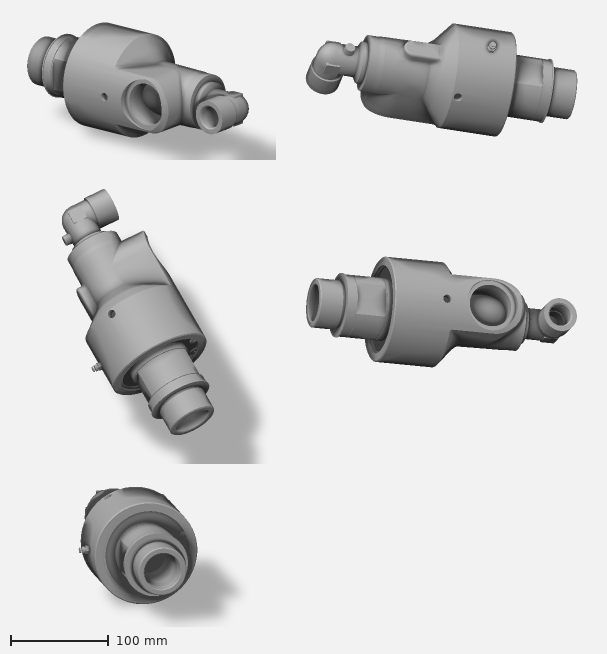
import cadquery as cq
import math


nose_radius = 50.8 / 2
nose_length = 24.0
nose_chamfer = 1.0
nose_bore_radius = 38.0 / 2
nose_bore_chamfer = 0.8
nose_bore_depth = 64.8
relief_radius = 24.0
relief_end = 26.7
flange_lip_radius = 33.2
flange_lip_end = 27.8
rotor_radius = 64.0 / 2
flange_end = 37.0
rotor_groove_radius = 31.0
rotor_groove_width = 0.8
flat_start = flange_end + rotor_groove_width
flat_end = 68.5
flat_offset = 27.3

body_radius = 54.0
body_start = 71.0
body_chamfer = 1.0
drum_end = 132.3
recess_radius = 45.0
recess_depth = 5.5

ring_inner_radius = 44.0
ring_inner_shift = -2.0
ring_offset = 2.2
ring_thickness = 1.4
ear_radius = 5.5
ear_hole_radius = 3.5 / 2
ear_pitch_radius = 43.2
ear_height = 14.3

shoulder_end = 147.0
shoulder_end_radius = 37.3
neck_start = 155.8
neck_radius = 30.2
neck_end_radius = 29.5
neck_end = 204.0
collar_start = 208.8
collar_radius = 56.2 / 2 + 0.8
collar_end = 219.0

gland_radius = 43.2 / 2
gland_end = 224.2
gland_tip = 227.5

port_x = 175.3
boss_end_x = 179.5
boss_radius = 29.7
boss_rim_chamfer = 2.5
shoulder_fillet = 3.2
collar_fillet = 4.9
spotface_radius = 53.7 / 2
spotface_depth = 8.0
port_radius = 44.3 / 2
core_radius = 50.8 / 2

pad_radius = 10.0
pad_height = 37.5
pad_fillet = 2.5
pad_base_fillet = 3.2

drain_radius = 8.6 / 2
drain_depth = 8.0
drain_x = 126.5
drain_count = 3

nipple_x = 98.5
nipple_hex_diameter = 9.0
nipple_hex_top = 57.3
nipple_neck_radius = 5.5 / 2
nipple_rim_bottom = 58.5
nipple_rim_radius = 7.0 / 2
nipple_rim_top = 60.8
nipple_stem_radius = 2.0 / 2
nipple_cap_bottom = 62.5
nipple_cap_radius = 6.0 / 2
nipple_cap_top = 63.5

elbow_x = 252.5
pipe_radius = 32.0 / 2
elbow_pad_size = 14.9
elbow_pad_fillet = 1.0
elbow_bore_radius = 10.3
pipe_groove_start = 15.5
pipe_groove_radius = 15.5
socket_start = 16.7
socket_radius = 35.0 / 2
socket_end = 39.0
socket_bore_radius = 22.7 / 2
socket_mouth_radius = 25.5 / 2
socket_mouth_depth = 1.4
plug_x = 238.5
plug_root = 13.5
plug_base_radius = 6.0
plug_tip_radius = 5.0
plug_height = 22.5

overlap = 2.7


def rod(radius, start, end):
    """Cylinder along +X from start to end."""
    return cq.Workplane("YZ", origin=(start, 0, 0)).circle(radius).extrude(end - start)


def side_rod(radius, x, start, end):
    """Cylinder parallel to Y at the given x, from y = start to y = end."""
    plane = cq.Plane(origin=(x, start, 0), xDir=(1, 0, 0), normal=(0, 1, 0))
    return cq.Workplane(plane).circle(radius).extrude(end - start)


def turned(profile):
    """Revolve a closed (x, radius) profile about the main axis."""
    return cq.Workplane("XY").polyline(profile).close().revolve(360, (0, 0, 0), (1, 0, 0))


def make_rotor():
    rotor = turned([
        (0, 0),
        (0, nose_radius - nose_chamfer),
        (nose_chamfer, nose_radius),
        (nose_length, nose_radius),
        (nose_length, relief_radius),
        (relief_end, relief_radius),
        (relief_end, flange_lip_radius),
        (flange_lip_end, flange_lip_radius),
        (flange_lip_end, rotor_radius),
        (flange_end, rotor_radius),
        (flange_end, rotor_groove_radius),
        (flat_start, rotor_groove_radius),
        (flat_start, rotor_radius),
        (flat_end, rotor_radius),
        (flat_end, rotor_groove_radius),
        (flat_end + rotor_groove_width, rotor_groove_radius),
        (flat_end + rotor_groove_width, rotor_radius),
        (body_start + recess_depth + overlap, rotor_radius),
        (body_start + recess_depth + overlap, 0),
    ])
    flat_length = flat_end - flat_start
    for side in (1, -1):
        flat_depth = rotor_radius
        cutter = cq.Workplane("XY").box(flat_length, flat_depth, 2 * rotor_radius)
        rotor = rotor.cut(cutter.translate(
            (flat_start + flat_length / 2, side * (flat_offset + flat_depth / 2), 0)))
    bore = rod(nose_bore_radius, 0, nose_bore_depth)
    mouth_radius = nose_bore_radius + nose_bore_chamfer
    mouth = cq.Solid.makeCone(
        mouth_radius, nose_bore_radius, nose_bore_chamfer, cq.Vector(0, 0, 0), cq.Vector(1, 0, 0))
    return rotor.cut(bore).cut(cq.Workplane(mouth))


def make_housing():
    profile = (
        cq.Workplane("XY")
        .moveTo(body_start, 0)
        .lineTo(body_start, body_radius - body_chamfer)
        .lineTo(body_start + body_chamfer, body_radius)
        .lineTo(drum_end, body_radius)
        .lineTo(shoulder_end, shoulder_end_radius)
        .tangentArcPoint((neck_start, neck_radius), relative=False)
        .lineTo(neck_end, neck_end_radius)
        .lineTo(collar_start, collar_radius)
        .lineTo(collar_end, collar_radius)
        .lineTo(collar_end, gland_radius)
        .lineTo(gland_end, gland_radius)
        .lineTo(gland_tip, pipe_radius)
        .lineTo(gland_tip, 0)
        .close()
    )
    housing = profile.revolve(360, (0, 0, 0), (1, 0, 0))
    return housing.cut(rod(recess_radius, body_start, body_start + recess_depth))


def curved_edges(body, x_range, y_range):
    """Free-form edges of the body whose centers lie inside the given ranges."""
    return [
        edge for edge in body.edges().vals()
        if edge.geomType() not in ("LINE", "CIRCLE")
        and x_range[0] < edge.Center().x < x_range[1]
        and y_range[0] < edge.Center().y < y_range[1]
    ]


def make_port_boss():
    """Flat-sided boss with a round end, trimmed to the drum radius."""
    length = boss_end_x - drain_x
    block = cq.Workplane("XY").box(length, body_radius, 2 * boss_radius, centered=(False, False, True))
    block = block.translate((drain_x, -body_radius, 0))
    round_end = side_rod(boss_radius, boss_end_x, -body_radius, 0).faces("<Y").chamfer(boss_rim_chamfer)
    return block.union(round_end).intersect(rod(body_radius, drain_x, collar_end))


def make_collar_blend():
    """Fillet between the round end of the boss and the collar."""
    post = side_rod(boss_radius, boss_end_x, -body_radius / 2 - collar_fillet - overlap, body_radius)
    blend = post.union(rod(collar_radius, boss_end_x, collar_end))
    seam = curved_edges(blend, (boss_end_x + overlap, collar_end), (-body_radius, body_radius))
    blend = blend.newObject(seam).fillet(collar_fillet)
    length = collar_end - boss_end_x
    lower_half = cq.Workplane("XY").box(length, body_radius, 2 * body_radius, centered=(False, False, True))
    return blend.intersect(lower_half.translate((boss_end_x, -body_radius, 0)))


def add_port_boss(housing):
    housing = housing.union(make_port_boss())
    joint = curved_edges(housing, (drum_end, neck_start), (-body_radius, 0))
    return housing.newObject(joint).fillet(shoulder_fillet).union(make_collar_blend())


def make_port_cut():
    spotface = side_rod(spotface_radius, port_x, -body_radius - overlap, -body_radius + spotface_depth)
    port = side_rod(port_radius, port_x, -body_radius, 0).cut(rod(core_radius, drum_end, collar_end))
    return spotface.union(port)


def make_pad():
    pad = side_rod(pad_radius, port_x, 0, pad_height)
    arm = cq.Workplane("XY").box(port_x - drum_end, pad_height, 2 * pad_radius, centered=(False, False, True))
    return pad.union(arm.translate((drum_end, 0, 0))).faces(">Y").edges().fillet(pad_fillet)


def add_pad(housing):
    housing = housing.union(make_pad())
    wall_foot = pad_height - pad_fillet
    joint = [
        edge for edge in housing.edges().vals()
        if abs(edge.Center().z) < pad_radius + overlap
        and drum_end < edge.Center().x < port_x + pad_radius + overlap
        and 0 < edge.Center().y < wall_foot
        and min(edge.startPoint().y, edge.endPoint().y) < wall_foot
        and not (edge.geomType() == "LINE" and abs(edge.tangentAt(0).y) > 0.9)
    ]
    return housing.newObject(joint).fillet(pad_base_fillet)


def make_drain_cuts():
    cuts = cq.Workplane("XY")
    hole = side_rod(drain_radius, drain_x, -body_radius - overlap, -body_radius + drain_depth)
    for index in range(drain_count):
        cuts = cuts.union(hole.rotate((0, 0, 0), (1, 0, 0), index * 360 / drain_count))
    return cuts


def make_ring():
    start = body_start + ring_offset
    end = start + ring_thickness
    opening = rod(ring_inner_radius, start, end).translate((0, ring_inner_shift, 0))
    ring = rod(recess_radius, start, end).cut(opening)
    gap = cq.Workplane("XY").box(2 * ring_thickness, body_radius, 2 * ear_height, centered=(True, False, True))
    ring = ring.cut(gap.translate((start + ring_thickness / 2, -body_radius, 0)))
    ear_y = -math.sqrt(ear_pitch_radius**2 - ear_height**2)
    for side in (1, -1):
        ear_axis = (0, ear_y, side * ear_height)
        ring = ring.union(rod(ear_radius, start, end).translate(ear_axis))
        ring = ring.cut(rod(ear_hole_radius, start, end).translate(ear_axis))
    return ring.intersect(rod(recess_radius, start, end + recess_depth))


def make_nipple():
    hex_plane = cq.Plane(origin=(nipple_x, body_radius - overlap, 0), xDir=(1, 0, 0), normal=(0, 1, 0))
    nipple = cq.Workplane(hex_plane).polygon(6, nipple_hex_diameter)
    nipple = nipple.extrude(nipple_hex_top - body_radius + overlap)
    for radius, start, end in (
        (nipple_neck_radius, nipple_hex_top, nipple_rim_bottom),
        (nipple_rim_radius, nipple_rim_bottom, nipple_rim_top),
        (nipple_stem_radius, nipple_rim_top, nipple_cap_bottom),
        (nipple_cap_radius, nipple_cap_bottom, nipple_cap_top),
    ):
        nipple = nipple.union(side_rod(radius, nipple_x, start, end))
    return nipple


def make_elbow():
    elbow = rod(pipe_radius, gland_end, elbow_x)
    elbow = elbow.union(cq.Workplane("XY").sphere(pipe_radius).translate((elbow_x, 0, 0)))
    elbow = elbow.union(side_rod(pipe_radius, elbow_x, -pipe_groove_start, 0))
    elbow = elbow.union(side_rod(pipe_groove_radius, elbow_x, -socket_start, -pipe_groove_start))
    elbow = elbow.union(side_rod(socket_radius, elbow_x, -socket_end, -socket_start))
    pads = cq.Workplane("XY").box(elbow_pad_size, elbow_pad_size, 2 * pipe_radius)
    pads = pads.edges("|Z").fillet(elbow_pad_fillet)
    elbow = elbow.union(pads.translate((elbow_x, 0, 0)))
    plug = cq.Solid.makeCone(
        plug_base_radius, plug_tip_radius, plug_height - plug_root,
        cq.Vector(plug_x, plug_root, 0), cq.Vector(0, 1, 0))
    return elbow.union(cq.Workplane(plug))


def make_elbow_bore():
    bore = rod(elbow_bore_radius, gland_tip, elbow_x)
    bore = bore.union(cq.Workplane("XY").sphere(elbow_bore_radius).translate((elbow_x, 0, 0)))
    bore = bore.union(side_rod(elbow_bore_radius, elbow_x, -socket_start, 0))
    bore = bore.union(side_rod(socket_bore_radius, elbow_x, -socket_end, -socket_start))
    mouth = cq.Solid.makeCone(
        socket_mouth_radius, socket_bore_radius, socket_mouth_depth,
        cq.Vector(elbow_x, -socket_end, 0), cq.Vector(0, 1, 0))
    return bore.union(cq.Workplane(mouth))


result = (
    add_pad(add_port_boss(make_housing()))
    .cut(make_port_cut())
    .cut(make_drain_cuts())
    .union(make_rotor())
    .union(make_ring())
    .union(make_nipple())
    .union(make_elbow())
    .cut(make_elbow_bore())
)